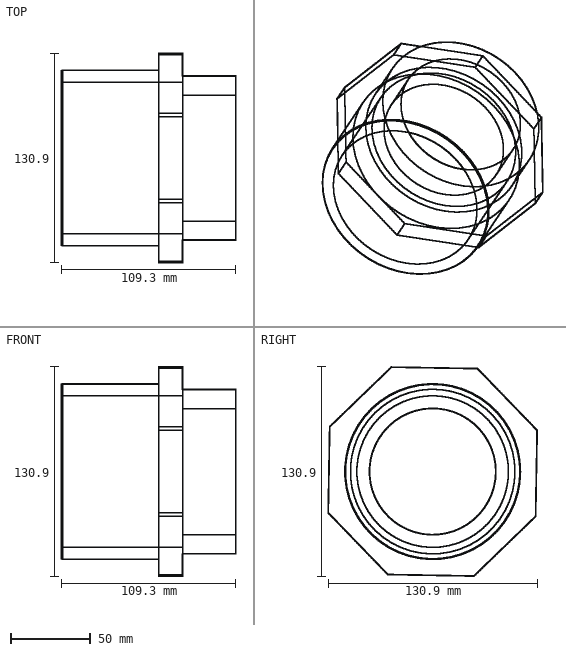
import cadquery as cq
import math


total_length = 109.3
tube_length = 60.9
flange_thickness = 15.0
socket_depth = tube_length + flange_thickness
collar_length = total_length - socket_depth

tube_diameter = 110.0
socket_bore = 94.9
collar_diameter = 103.0
collar_bore = 78.9
rim_chamfer_length = 0.9
rim_chamfer_depth = 0.4

flange_sides = 8
flange_extent = 130.9
flange_turn = -1.0
half_side_angle = 180.0 / flange_sides
highest_corner_angle = half_side_angle - abs(flange_turn)
corner_diameter = flange_extent / math.cos(math.radians(highest_corner_angle))


def make_tube_blank():
    """Solid round bar whose outer rim has a shallow chamfer, longer along X than it is deep."""
    radius = tube_diameter / 2
    half_section = [
        (0, 0),
        (0, radius - rim_chamfer_depth),
        (rim_chamfer_length, radius),
        (tube_length, radius),
        (tube_length, 0),
    ]
    return cq.Workplane("XY").polyline(half_section).close().revolve(360, (0, 0, 0), (1, 0, 0))


def make_flange():
    """Regular octagon, with flats square to Y and Z before the slight turn."""
    return (
        cq.Workplane("YZ", origin=(tube_length, 0, 0))
        .polygon(flange_sides, corner_diameter)
        .extrude(flange_thickness)
        .rotate((0, 0, 0), (1, 0, 0), half_side_angle + flange_turn)
    )


def make_adapter():
    """Tube and flange in one piece, with the socket bored through both."""
    bore = cq.Workplane("YZ").circle(socket_bore / 2).extrude(socket_depth)
    return make_tube_blank().union(make_flange()).cut(bore).solids()


def make_collar():
    """Round collar whose narrower bore forms the stop at the end of the socket."""
    return (
        cq.Workplane("YZ", origin=(socket_depth, 0, 0))
        .circle(collar_diameter / 2)
        .circle(collar_bore / 2)
        .extrude(collar_length)
    )


adapter = make_adapter()
collar = make_collar()

result = cq.Compound.makeCompound([adapter.val(), collar.val()])